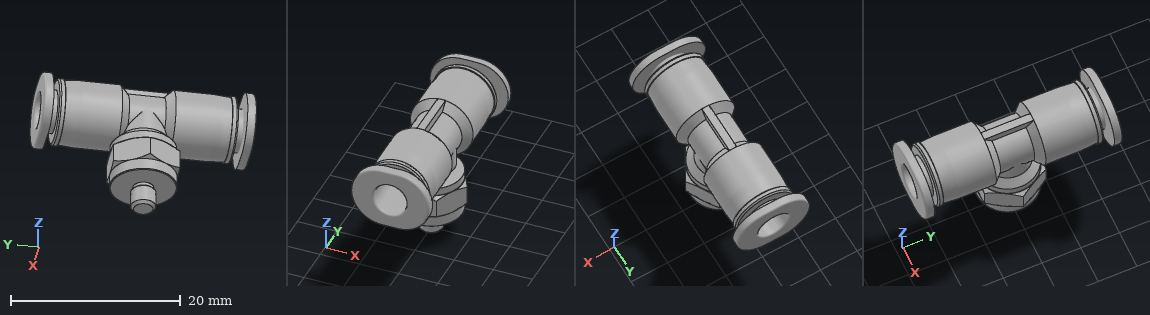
import cadquery as cq
import math


BARREL_RADIUS = 4.0
WAIST_RADIUS = 3.0
BARREL_START = 3.2
TAPER_START = 8.0
TAPER_END = 10.0
TAPER_END_RADIUS = 3.85
RIM_END = 10.7
RIM_CHAMFER = 0.2
RIB_WIDTH = 1.0

SLEEVE_RADIUS = 2.6
SLEEVE_FILLET = 0.1
FLANGE_WIDTH = 10.0
FLANGE_HEIGHT = 2 * BARREL_RADIUS
FLANGE_THICKNESS = 1.1
FLANGE_FILLET = 0.3
RUN_HALF_LENGTH = 12.7
BORE_RADIUS = 2.1
BORE_FILLET = 0.3
BORE_DEPTH = 7.0

SHOULDER_TOP = -3.0
SHOULDER_RADIUS = 3.95
SHOULDER_EDGE = -4.0
HEX_TOP = -5.0
HEX_BOTTOM = -8.0
HEX_ACROSS_FLATS = 8.0
HEX_SIDES = 6
HEX_CHAMFER_ANGLE = 30.0
WASHER_RADIUS = HEX_ACROSS_FLATS / 2
WASHER_BOTTOM = -9.5
WASHER_CHAMFER = 0.1
THREAD_RADIUS = 1.5
UNDERCUT_RADIUS = 1.25
UNDERCUT_END = -9.9
THREAD_BOTTOM = -12.5
THREAD_CHAMFER = 0.35


def revolve_about_y(profile):
    """Revolve (radius, y) points, closed along the Y axis."""
    return cq.Workplane("XY").polyline(profile).close().revolve(360, (0, 0), (0, 1))


def revolve_about_z(profile):
    """Revolve (radius, z) points, closed along the Z axis."""
    return cq.Workplane("XZ").polyline(profile).close().revolve(360, (0, 0), (0, 1))


def make_run_half():
    """Body of the run on the +Y side, from the waist to the rim."""
    waist_end = BARREL_START - (BARREL_RADIUS - WAIST_RADIUS)
    return revolve_about_y([
        (0, 0),
        (WAIST_RADIUS, 0),
        (WAIST_RADIUS, waist_end),
        (BARREL_RADIUS, BARREL_START),
        (BARREL_RADIUS, TAPER_START),
        (TAPER_END_RADIUS, TAPER_END),
        (BARREL_RADIUS, TAPER_END),
        (BARREL_RADIUS, RIM_END - RIM_CHAMFER),
        (BARREL_RADIUS - RIM_CHAMFER, RIM_END),
        (0, RIM_END),
    ])


def make_collet():
    """Sleeve and obround flange at the +Y end."""
    flange_inner = RUN_HALF_LENGTH - FLANGE_THICKNESS
    flange = (
        cq.Workplane("XZ", origin=(0, RUN_HALF_LENGTH, 0))
        .slot2D(FLANGE_WIDTH, FLANGE_HEIGHT)
        .extrude(FLANGE_THICKNESS)
        .faces(">Y").edges().fillet(FLANGE_FILLET)
    )
    fillet_start = flange_inner - SLEEVE_FILLET
    sleeve = (
        cq.Workplane("XY")
        .moveTo(0, TAPER_END)
        .lineTo(SLEEVE_RADIUS, TAPER_END)
        .lineTo(SLEEVE_RADIUS, fillet_start)
        .radiusArc((SLEEVE_RADIUS + SLEEVE_FILLET, flange_inner), SLEEVE_FILLET)
        .lineTo(0, flange_inner)
        .close()
        .revolve(360, (0, 0), (0, 1))
    )
    return flange.union(sleeve)


def make_bore():
    """Blind tube socket at the +Y end, with a rounded mouth."""
    mouth_radius = BORE_RADIUS + BORE_FILLET
    return (
        cq.Workplane("XY")
        .moveTo(0, RUN_HALF_LENGTH - BORE_DEPTH)
        .lineTo(BORE_RADIUS, RUN_HALF_LENGTH - BORE_DEPTH)
        .lineTo(BORE_RADIUS, RUN_HALF_LENGTH - BORE_FILLET)
        .radiusArc((mouth_radius, RUN_HALF_LENGTH), BORE_FILLET)
        .lineTo(0, RUN_HALF_LENGTH)
        .close()
        .revolve(360, (0, 0), (0, 1))
    )


def make_rib():
    """Rib along the top of the waist, flush with the tops of the barrels."""
    return cq.Workplane("XY").rect(RIB_WIDTH, 2 * BARREL_START).extrude(BARREL_RADIUS)


def make_shoulder():
    """Neck under the waist, widening through a cone to a round collar."""
    return revolve_about_z([
        (0, 0),
        (WAIST_RADIUS, 0),
        (WAIST_RADIUS, SHOULDER_TOP),
        (SHOULDER_RADIUS, SHOULDER_EDGE),
        (SHOULDER_RADIUS, HEX_TOP),
        (0, HEX_TOP),
    ])


def make_hex():
    """Hexagon with corners on the X axis, its corners turned off above and below."""
    flat_radius = HEX_ACROSS_FLATS / 2
    corner_radius = flat_radius / math.cos(math.pi / HEX_SIDES)
    corner_drop = (corner_radius - flat_radius) * math.tan(math.radians(HEX_CHAMFER_ANGLE))
    prism = (
        cq.Workplane("XY", origin=(0, 0, HEX_BOTTOM))
        .polygon(HEX_SIDES, 2 * corner_radius)
        .extrude(HEX_TOP - HEX_BOTTOM)
    )
    turned_blank = revolve_about_z([
        (0, HEX_TOP),
        (flat_radius, HEX_TOP),
        (corner_radius, HEX_TOP - corner_drop),
        (corner_radius, HEX_BOTTOM + corner_drop),
        (flat_radius, HEX_BOTTOM),
        (0, HEX_BOTTOM),
    ])
    return prism.intersect(turned_blank)


def make_stud():
    """Washer face, undercut and plain threaded end."""
    thread_top = UNDERCUT_END - (THREAD_RADIUS - UNDERCUT_RADIUS)
    return revolve_about_z([
        (0, HEX_BOTTOM),
        (WASHER_RADIUS, HEX_BOTTOM),
        (WASHER_RADIUS, WASHER_BOTTOM + WASHER_CHAMFER),
        (WASHER_RADIUS - WASHER_CHAMFER, WASHER_BOTTOM),
        (UNDERCUT_RADIUS, WASHER_BOTTOM),
        (UNDERCUT_RADIUS, UNDERCUT_END),
        (THREAD_RADIUS, thread_top),
        (THREAD_RADIUS, THREAD_BOTTOM + THREAD_CHAMFER),
        (THREAD_RADIUS - THREAD_CHAMFER, THREAD_BOTTOM),
        (0, THREAD_BOTTOM),
    ])


def make_run():
    """Both halves of the run, mirrored about the branch axis."""
    half = make_run_half().union(make_collet()).cut(make_bore())
    return half.union(half.mirror("XZ")).union(make_rib())


result = make_run().union(make_shoulder()).union(make_hex()).union(make_stud())